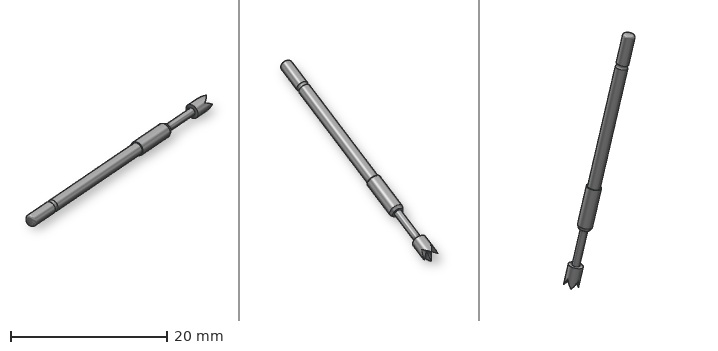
import cadquery as cq
import math

total_length = 36.3
tip_end = total_length / 2
tail_end = -total_length / 2

head_diameter = 2.0
head_length = 3.0
notch_depth = 1.2
notch_angles = (45, -45)
notch_overshoot = 2.0
plunger_diameter = 1.0

ring_diameter = head_diameter
ring_start = 8.28
ring_length = 6.0
ring_nose_length = 0.45
ring_nose_diameter = 1.55

tube_diameter = 1.67
tail_round = 0.35
crimp_from_tail = 4.5
crimp_width = 0.55
crimp_depth = 0.15

head_radius = head_diameter / 2
plunger_radius = plunger_diameter / 2
ring_radius = ring_diameter / 2
ring_nose_radius = ring_nose_diameter / 2
tube_radius = tube_diameter / 2

head_base = tip_end - head_length
ring_front = tip_end - ring_start
ring_shoulder = ring_front - ring_nose_length
ring_back = ring_front - ring_length
crimp_center = tail_end + crimp_from_tail


def turned_body():
    """Revolve the half outline, drawn as (radius, y), about the Y axis."""
    arc_inset = tail_round * (1 - math.sqrt(0.5))
    outline = (
        cq.Workplane("XY")
        .moveTo(0, tail_end)
        .lineTo(tube_radius - tail_round, tail_end)
        .threePointArc(
            (tube_radius - arc_inset, tail_end + arc_inset),
            (tube_radius, tail_end + tail_round),
        )
        .lineTo(tube_radius, crimp_center - crimp_width / 2)
        .threePointArc(
            (tube_radius - crimp_depth, crimp_center),
            (tube_radius, crimp_center + crimp_width / 2),
        )
        .lineTo(tube_radius, ring_back)
        .lineTo(ring_radius, ring_back)
        .lineTo(ring_radius, ring_shoulder)
        .lineTo(ring_nose_radius, ring_front)
        .lineTo(plunger_radius, ring_front)
        .lineTo(plunger_radius, head_base)
        .lineTo(head_radius, head_base)
        .lineTo(head_radius, tip_end)
        .lineTo(0, tip_end)
        .close()
    )
    return outline.revolve(360, (0, 0, 0), (0, 1, 0))


def crown_notch(angle):
    """V-notch across the head, turned about the Y axis by the given angle."""
    tip_offset = head_radius * math.sqrt(0.5)
    root = tip_end - notch_depth
    cutter_top = root + notch_depth * notch_overshoot
    cutter_half_width = tip_offset * notch_overshoot
    return (
        cq.Workplane("XY")
        .moveTo(0, root)
        .lineTo(cutter_half_width, cutter_top)
        .lineTo(-cutter_half_width, cutter_top)
        .close()
        .extrude(head_diameter, both=True)
        .rotate((0, 0, 0), (0, 1, 0), angle)
    )


result = turned_body()
for notch_angle in notch_angles:
    result = result.cut(crown_notch(notch_angle))